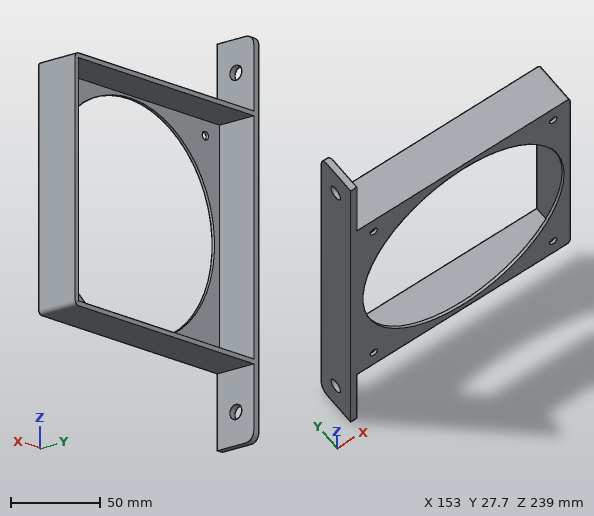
import cadquery as cq

length = 153.0
depth = 27.7
height = 239.0

flange_thickness = 4.3
flange_corner_radius = 6.0
flange_hole_diameter = 8.8
flange_hole_from_front = 14.0
flange_hole_from_end = 19.8

frame_side = length - flange_thickness
frame_center_x = flange_thickness + frame_side / 2
wall_thickness = 2.9
face_thickness = 2.0
corner_radius = 2.9

opening_diameter = 140.0
screw_spacing = 125.0
screw_hole_diameter = 5.0


def make_flange():
    """Strip with rounded back corners and one mounting hole near each end."""
    strip = (
        cq.Workplane("XY")
        .box(flange_thickness, depth, height, centered=(False, False, True))
        .edges(">Y and |X")
        .fillet(flange_corner_radius)
    )
    hole_z = height / 2 - flange_hole_from_end
    holes = (
        cq.Workplane("YZ")
        .pushPoints([(flange_hole_from_front, hole_z), (flange_hole_from_front, -hole_z)])
        .circle(flange_hole_diameter / 2)
        .extrude(flange_thickness)
    )
    return strip.cut(holes)


def make_frame():
    """Square block rounded at the two corners away from the flange."""
    return (
        cq.Workplane("XY")
        .box(frame_side, depth, frame_side, centered=(False, False, True))
        .translate((flange_thickness, 0, 0))
        .edges(">X and |Y")
        .fillet(corner_radius)
    )


def make_cavity():
    """Space behind the front face, open at the back and bounded by the flange."""
    return (
        cq.Workplane("XY")
        .box(
            frame_side - wall_thickness,
            depth - face_thickness,
            frame_side - 2 * wall_thickness,
            centered=(False, False, True),
        )
        .translate((flange_thickness, face_thickness, 0))
    )


def make_face_holes():
    """Large round opening and four screw holes through the front face."""
    face = cq.Workplane("XZ", origin=(frame_center_x, 0, 0))
    opening = face.circle(opening_diameter / 2).extrude(-face_thickness)
    screw_holes = (
        face.rect(screw_spacing, screw_spacing, forConstruction=True)
        .vertices()
        .circle(screw_hole_diameter / 2)
        .extrude(-face_thickness)
    )
    return opening.union(screw_holes)


result = make_flange().union(make_frame()).cut(make_cavity()).cut(make_face_holes())